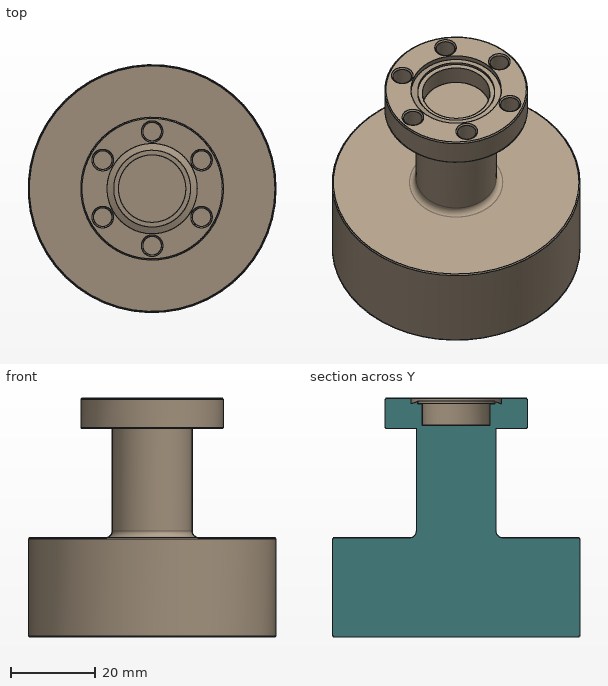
import cadquery as cq
import math

base_diameter = 58.7
base_height = 23.55
base_edge_chamfer = 0.3

tube_diameter = 19.0
tube_fillet = 1.5

total_height = 56.55
flange_diameter = 33.8
flange_thickness = 7.2
flange_edge_chamfer = 0.3

recess_diameter = 21.4
recess_depth = 1.3
seal_edge_diameter = 18.2
seal_edge_depth = 0.7

bore_diameter = 16.0
bore_depth = 6.4

bolt_count = 6
bolt_circle_diameter = 27.0
bolt_hole_diameter = 4.4
bolt_hole_chamfer = 0.35
first_bolt_angle = 90.0


def disc(diameter, bottom, height):
    """Upright cylinder on the Z axis."""
    return cq.Workplane("XY").workplane(offset=bottom).circle(diameter / 2).extrude(height)


def make_base():
    return disc(base_diameter, 0, base_height).edges().chamfer(base_edge_chamfer)


def make_tube():
    """Tube profile with a concave flare at its foot, revolved about Z."""
    radius = tube_diameter / 2
    foot_radius = radius + tube_fillet
    fillet_middle = tube_fillet * (1 - math.cos(math.radians(45)))
    return (
        cq.Workplane("XZ")
        .lineTo(foot_radius, 0)
        .lineTo(foot_radius, base_height)
        .threePointArc(
            (radius + fillet_middle, base_height + fillet_middle),
            (radius, base_height + tube_fillet),
        )
        .lineTo(radius, total_height - flange_thickness)
        .lineTo(0, total_height - flange_thickness)
        .close()
        .revolve()
    )


def make_flange():
    flange = disc(flange_diameter, total_height - flange_thickness, flange_thickness)
    return flange.edges().chamfer(flange_edge_chamfer)


def make_face_opening():
    """Space removed by the recess and the bore, revolved about Z."""
    recess_radius = recess_diameter / 2
    seal_edge_radius = seal_edge_diameter / 2
    bore_radius = bore_diameter / 2
    return (
        cq.Workplane("XZ")
        .moveTo(0, total_height)
        .lineTo(recess_radius, total_height)
        .lineTo(recess_radius, total_height - recess_depth)
        .lineTo(seal_edge_radius, total_height - seal_edge_depth)
        .lineTo(seal_edge_radius, total_height - recess_depth)
        .lineTo(bore_radius, total_height - recess_depth)
        .lineTo(bore_radius, total_height - bore_depth)
        .lineTo(0, total_height - bore_depth)
        .close()
        .revolve()
    )


def make_bolt_holes():
    """Bolt-hole cutters, widened by a chamfer at the flange face."""
    radius = bolt_hole_diameter / 2
    cutter = (
        cq.Workplane("XZ")
        .moveTo(0, total_height)
        .lineTo(radius + bolt_hole_chamfer, total_height)
        .lineTo(radius, total_height - bolt_hole_chamfer)
        .lineTo(radius, total_height - flange_thickness)
        .lineTo(0, total_height - flange_thickness)
        .close()
        .revolve()
        .val()
    )
    return (
        cq.Workplane("XY")
        .polarArray(bolt_circle_diameter / 2, first_bolt_angle, 360, bolt_count)
        .eachpoint(lambda place: cutter.moved(place), combine=False)
    )


body = make_base().union(make_tube()).union(make_flange())
result = body.cut(make_face_opening()).cut(make_bolt_holes())